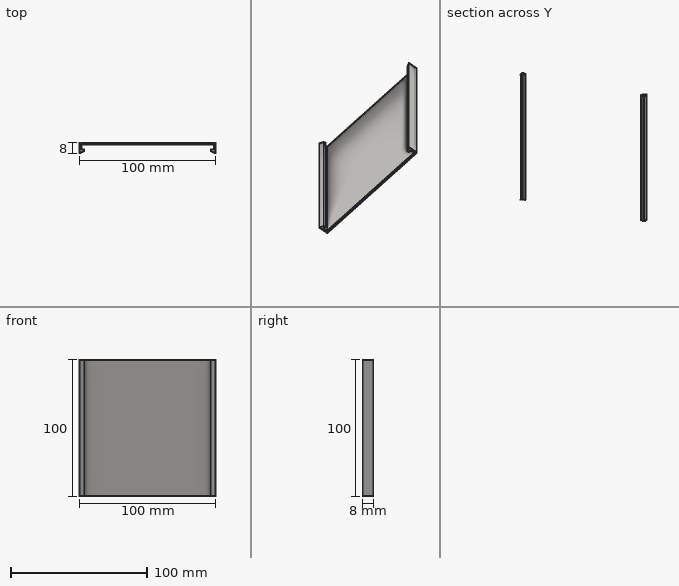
import cadquery as cq

WIDTH = 100.0
DEPTH = 8.0
LENGTH = 100.0

PLATE_THICKNESS = 1.5
WALL_THICKNESS = 1.5

HOOK_REACH = 2.0
HOOK_CLEARANCE = 3.25
HOOK_TIP_HEIGHT = 1.5

outer_x = WIDTH / 2
wall_x = outer_x - WALL_THICKNESS
hook_x = wall_x - HOOK_REACH
back_y = DEPTH / 2
plate_y = back_y - PLATE_THICKNESS
shoulder_y = plate_y - HOOK_CLEARANCE
lead_in_y = shoulder_y - HOOK_TIP_HEIGHT
front_y = -DEPTH / 2


def half_section():
    """Corner points of the right half of the section, starting at the back of the plate."""
    return [
        (0, back_y),
        (outer_x, back_y),
        (outer_x, front_y),
        (hook_x, lead_in_y),
        (hook_x, shoulder_y),
        (wall_x, shoulder_y),
        (wall_x, plate_y),
        (0, plate_y),
    ]


def clip_cover():
    """Constant section extruded along Z, centred on the origin."""
    right_half = (
        cq.Workplane("XY")
        .workplane(offset=-LENGTH / 2)
        .polyline(half_section())
        .close()
        .extrude(LENGTH)
    )
    left_half = right_half.mirror("YZ")
    return right_half.union(left_half).clean()


result = clip_cover()